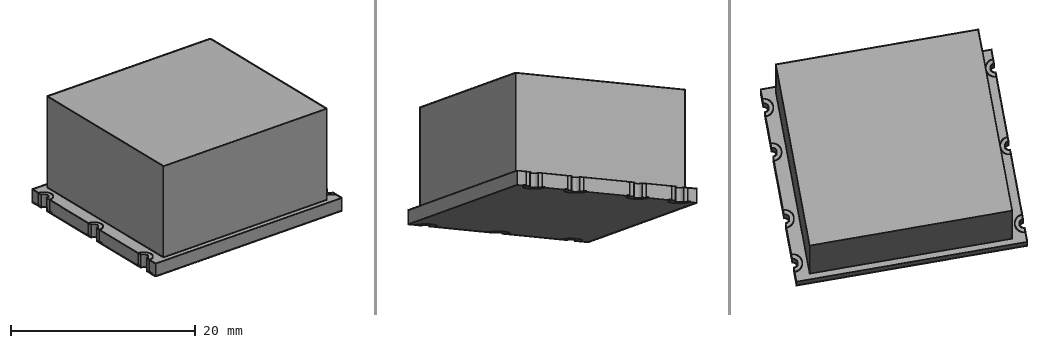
import cadquery as cq

board_width = 22.0
board_length = 25.4
board_thickness = 1.5748
overall_height = 12.7

cover_width = 20.73
cover_length = 22.28
cover_height = overall_height - board_thickness

grid_pitch = 2.54
barrel_radius = 1.0
bore_radius = 0.5
foot_radius = 1.27
foot_thickness = 0.1

outer_contact_x = 3.5 * grid_pitch
inner_contact_x = 1.5 * grid_pitch
front_contacts = [-outer_contact_x, 0.0, outer_contact_x]
rear_contacts = [-outer_contact_x, -inner_contact_x, inner_contact_x, outer_contact_x]
edge_y = board_length / 2
contact_centers = [(x, -edge_y) for x in front_contacts] + [(x, edge_y) for x in rear_contacts]


def board_blank():
    """Plain rectangular slab with its underside at Z = 0."""
    return cq.Workplane("XY").box(
        board_width, board_length, board_thickness, centered=(True, True, False)
    )


def round_contact(center):
    """Full barrel and foot around a center on the board edge, without its bore."""
    barrel = cq.Workplane("XY").center(*center).circle(barrel_radius).extrude(board_thickness)
    foot = cq.Workplane("XY").center(*center).circle(foot_radius).extrude(foot_thickness)
    return barrel.union(foot)


def contact_body(center):
    """Half of the round contact that lies inside the board edge, with a half-round bore."""
    bore = cq.Workplane("XY").center(*center).circle(bore_radius).extrude(board_thickness)
    return round_contact(center).cut(bore).intersect(board_blank())


def board_body():
    """Board with a matching recess for every edge contact."""
    board = board_blank()
    for center in contact_centers:
        board = board.cut(round_contact(center))
    return board


def cover_body():
    """Solid block centered on the upper face of the board."""
    return (
        cq.Workplane("XY")
        .workplane(offset=board_thickness)
        .box(cover_width, cover_length, cover_height, centered=(True, True, False))
    )


board = board_body()
cover = cover_body()
contacts = [contact_body(center) for center in contact_centers]

result = cq.Compound.makeCompound(
    [board.val(), cover.val(), *[contact.val() for contact in contacts]]
)